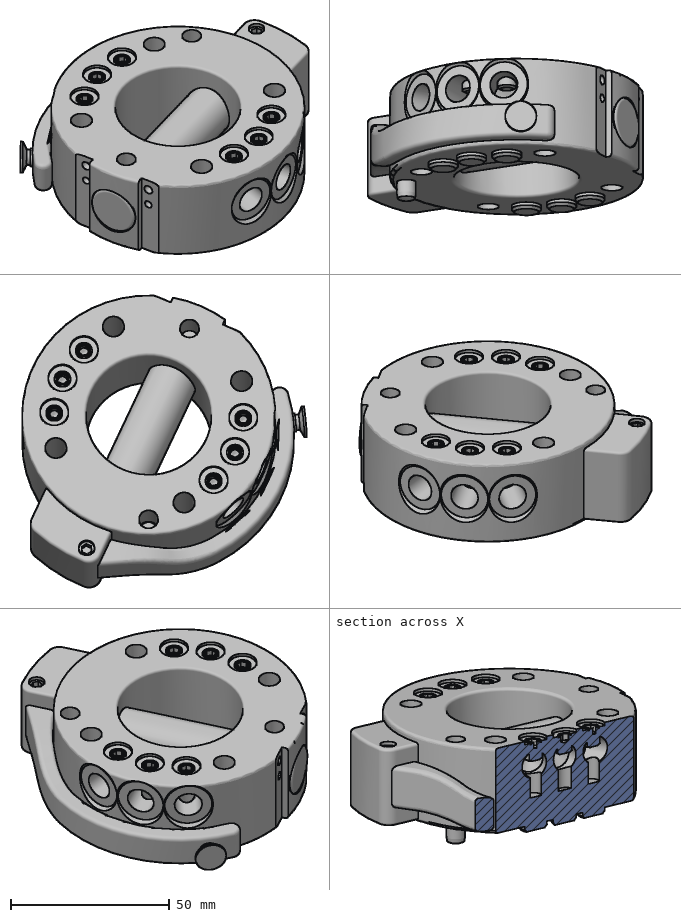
import cadquery as cq
import math

ring_radius = 40.05
ring_height = 28.5
bore_radius = 19.8
edge_round = 1.0
overlap = 1.0

flat_y = -37.0
pad_width = 18.0
flat_hole_x = 11.5
flat_hole_depth = 4.6
flat_holes = [(24.8, 3.0), (18.8, 2.5)]

bar_diameter = 16.0
bar_z = 13.3

mount_spacing = 44.4
mount_diameter = 6.75
dowel_diameter = 6.0
dowel_hole_y = -31.45
dowel_hole_depth = 11.1
pin_x = -14.2
pin_y = 31.9

pin_straight = 3.9
pin_shoulder = 5.4
pin_length = 6.1
pin_tip_radius = 2.8

port_step = 22.5
port_angles = [-port_step, 0, port_step]
left_port_z = 20.0
right_port_z = 15.7
port_diameter = 8.7
port_depth = 13.4
port_face_radius = 38.9
spotface_diameter = 15.0
drill_half_angle = 59.0

screw_circle_radius = 29.9
recess_diameter = 9.0
recess_depth = 1.0
screw_diameter = 6.0
screw_bottom_z = 21.7
thread_bottom_z = 9.25
thread_diameter = 5.2
screw_tip_diameter = 4.1
screw_tip_height = 0.6
screw_groove_outer = 5.2
screw_groove_inner = 4.1
screw_groove_depth = 0.6
socket_width = 3.5
socket_depth = 2.0

foot_diameter = 9.4
foot_end_diameter = 7.8
foot_height = 1.9
foot_straight = 1.0

lug_left = -5.0
lug_right = 20.0
lug_radius = 52.4
lug_bottom = 0.6
lug_top = 26.3
lug_corner_round = 4.0
lug_screw_y = 47.9
lug_screw_diameter = 5.0
lug_screw_depth = 1.2

lever_inner = 40.3
lever_outer = 46.0
lever_bottom = 1.0
lever_top = 11.9
lever_root_bottom = 6.5
lever_root_top = 20.4
lever_end_angle = 220.7
lever_tangent_angle = 119
lever_root_x = -3.2
lever_round = 1.5
bend_direction = 35
bend_start = -13.3
bend_end = 17.0

knob_angle = 210
knob_z = 6.5
knob_diameter = 9.9
knob_end = 49.8
knob_disc_thickness = 0.7
knob_collar_diameter = 5.8
knob_collar_end = 46.6
knob_neck_radius = 2.5


def polar(radius, angle):
    """Point at a radius and an angle in degrees about the ring axis."""
    return radius * math.cos(math.radians(angle)), radius * math.sin(math.radians(angle))


def spin(profile):
    """Revolve closed (radius, height) points about Z."""
    return cq.Workplane("XZ").polyline(profile).close().revolve(360, (0, 0, 0), (0, 1, 0))


def drill(diameter, depth):
    """Drill shape along Z from 0 down to a depth, with a conical bottom."""
    radius = diameter / 2
    tip = depth + radius / math.tan(math.radians(drill_half_angle))
    return spin([(0, 0), (radius, 0), (radius, -depth), (0, -tip)])


def aim_outward(tool, angle, radius, height):
    """Turn a tool's +Z to point radially outward and move it to its place."""
    turned = tool.rotate((0, 0, 0), (0, 1, 0), 90).translate((radius, 0, height))
    return turned.rotate((0, 0, 0), (0, 0, 1), angle)


def make_ring():
    ring = cq.Workplane("XY").circle(ring_radius).circle(bore_radius).extrude(ring_height)
    ring = ring.faces("<Z or >Z").edges().fillet(edge_round)
    cut_depth = ring_radius + flat_y
    for side in (-1, 1):
        flat = cq.Workplane("XY").box(ring_radius, cut_depth, ring_height, centered=(True, False, False))
        flat_x = side * (pad_width + ring_radius) / 2
        ring = ring.cut(flat.translate((flat_x, -ring_radius, 0)))
    return ring


def make_bar_seat():
    """Mouth of the bar hole, leaving a groove round the bar's rounded end."""
    seat = cq.Workplane("XZ", origin=(0, edge_round - ring_radius, bar_z))
    return seat.circle(bar_diameter / 2).extrude(2 * edge_round)


def make_cross_bar():
    length = ring_radius + bore_radius + overlap
    bar = cq.Workplane("XZ", origin=(0, length - ring_radius, bar_z)).circle(bar_diameter / 2).extrude(length)
    return bar.faces("<Y").edges().fillet(edge_round)


def make_lug():
    corner_y = [math.sqrt(lug_radius**2 - x**2) for x in (lug_left, lug_right)]
    middle_x = (lug_left + lug_right) / 2
    lug_start_y = bore_radius + overlap + lug_corner_round
    outline = (
        cq.Workplane("XY", origin=(0, 0, lug_bottom))
        .moveTo(lug_left, lug_start_y)
        .lineTo(lug_left, corner_y[0])
        .threePointArc((middle_x, math.sqrt(lug_radius**2 - middle_x**2)), (lug_right, corner_y[1]))
        .lineTo(lug_right, lug_start_y)
        .close()
    )
    lug = outline.extrude(lug_top - lug_bottom)
    lug = lug.edges("|Z").edges("not <Y").fillet(lug_corner_round)
    return lug.faces("<Z or >Z").edges("not <Y").fillet(edge_round)


def make_lever():
    middle_radius = (lever_inner + lever_outer) / 2
    cap_radius = (lever_outer - lever_inner) / 2
    cap_center = polar(middle_radius, lever_end_angle)
    cap_offset = polar(cap_radius, lever_end_angle + 90)
    cap_tip = (cap_center[0] + cap_offset[0], cap_center[1] + cap_offset[1])
    tangent_x, tangent_y = polar(lever_outer, lever_tangent_angle)
    slope = math.tan(math.radians(lever_tangent_angle - 90))
    root_outer_y = tangent_y + (lever_root_x - tangent_x) * slope
    root_inner_y = math.sqrt(lever_inner**2 - lever_root_x**2)
    middle_angle = (lever_tangent_angle + lever_end_angle) / 2
    plan = (
        cq.Workplane("XY")
        .moveTo(lever_root_x, root_inner_y)
        .threePointArc(polar(lever_inner, middle_angle), polar(lever_inner, lever_end_angle))
        .threePointArc(cap_tip, polar(lever_outer, lever_end_angle))
        .threePointArc(polar(lever_outer, middle_angle), (tangent_x, tangent_y))
        .lineTo(lever_root_x, root_outer_y)
        .close()
        .extrude(ring_height)
    )
    reach = lug_radius
    bend_middle = (bend_start + bend_end) / 2
    side = (
        cq.Workplane("XZ")
        .moveTo(-reach, lever_bottom)
        .lineTo(bend_start, lever_bottom)
        .tangentArcPoint((bend_middle, (lever_bottom + lever_root_bottom) / 2), relative=False)
        .tangentArcPoint((bend_end, lever_root_bottom), relative=False)
        .lineTo(reach, lever_root_bottom)
        .lineTo(reach, lever_root_top)
        .lineTo(bend_end, lever_root_top)
        .tangentArcPoint((bend_middle, (lever_top + lever_root_top) / 2), relative=False)
        .tangentArcPoint((bend_start, lever_top), relative=False)
        .lineTo(-reach, lever_top)
        .close()
        .extrude(reach, both=True)
        .rotate((0, 0, 0), (0, 0, 1), bend_direction)
    )
    lever = plan.intersect(side)
    return lever.edges("not(|Z or >X)").fillet(lever_round)


def make_knob():
    disc_radius = knob_diameter / 2
    disc_start = knob_end - knob_disc_thickness
    neck_end = (knob_collar_end + disc_start) / 2
    profile = [
        (0, lever_inner + overlap),
        (knob_collar_diameter / 2, lever_inner + overlap),
        (knob_collar_diameter / 2, knob_collar_end),
        (knob_neck_radius, knob_collar_end),
        (knob_neck_radius, neck_end),
        (disc_radius, disc_start),
        (disc_radius, knob_end),
        (0, knob_end),
    ]
    return aim_outward(spin(profile), knob_angle, 0, knob_z)


def make_dome():
    """Shallow spherical cap standing on Z = 0."""
    height = pin_length - pin_shoulder
    sphere_radius = (pin_tip_radius**2 + height**2) / (2 * height)
    sphere = cq.Workplane("XY").sphere(sphere_radius).translate((0, 0, height - sphere_radius))
    return sphere.intersect(cq.Workplane("XY").circle(sphere_radius).extrude(height))


def make_pin():
    radius = dowel_diameter / 2
    profile = [
        (0, overlap),
        (radius, overlap),
        (radius, -pin_straight),
        (pin_tip_radius, -pin_shoulder),
        (0, -pin_shoulder),
    ]
    dome = make_dome().rotate((0, 0, 0), (1, 0, 0), 180).translate((0, 0, -pin_shoulder))
    return spin(profile).union(dome).translate((pin_x, pin_y, 0))


def make_foot():
    radius = foot_diameter / 2
    profile = [
        (0, overlap),
        (radius, overlap),
        (radius, -foot_straight),
        (foot_end_diameter / 2, -foot_height),
        (0, -foot_height),
    ]
    return spin(profile)


def make_port(height):
    """Spotface with a 45 degree flare and a drilled blind hole, facing +X."""
    flat = spotface_diameter / 2
    rise = ring_radius + overlap - port_face_radius
    spotface = spin([(0, 0), (flat, 0), (flat + rise, rise), (0, rise)])
    return aim_outward(spotface.union(drill(port_diameter, port_depth)), 0, port_face_radius, height)


def make_screw_shank():
    """Clamp screw end that reaches down into a left-hand port."""
    radius = screw_diameter / 2
    top = ring_height - recess_depth
    tip_z = screw_bottom_z - screw_tip_height
    tip_radius = screw_tip_diameter / 2
    return spin([(0, top), (radius, top), (radius, screw_bottom_z), (tip_radius, tip_z), (0, tip_z)])


def make_thread_hole():
    """Continuation of the clamp screw hole below a left-hand port."""
    hole = cq.Workplane("XY", origin=(0, 0, thread_bottom_z)).circle(thread_diameter / 2)
    return hole.extrude(left_port_z - thread_bottom_z)


def make_socket(depth):
    """Hexagon socket sunk from Z = 0."""
    return cq.Workplane("XY").polygon(6, socket_width).extrude(-depth)


def make_screw_top():
    """Recess, chamfered screw rim and hexagon socket, measured down from the top face."""
    recess = cq.Workplane("XY").circle(recess_diameter / 2).extrude(-recess_depth)
    outer = screw_groove_outer / 2
    groove = spin([(screw_groove_inner / 2, 0), (outer, 0), (outer, -screw_groove_depth)])
    across_flats = socket_width * math.cos(math.pi / 6)
    screw = groove.union(make_socket(socket_depth)).union(drill(across_flats, socket_depth))
    return recess.union(screw.translate((0, 0, -recess_depth))).translate((0, 0, ring_height))


def place(tool, angle, radius=0.0):
    """Move a tool out along X, then turn it about the ring axis."""
    return tool.translate((radius, 0, 0)).rotate((0, 0, 0), (0, 0, 1), angle)


result = make_ring().cut(make_bar_seat()).union(make_cross_bar()).union(make_lug()).union(make_lever())
result = result.union(make_knob()).union(make_pin())

for side_angle, port_z in ((180, left_port_z), (0, right_port_z)):
    for step in port_angles:
        angle = side_angle + step
        result = result.cut(place(make_port(port_z), angle))
        if port_z == left_port_z:
            result = result.cut(place(make_thread_hole(), angle, screw_circle_radius))
            result = result.union(place(make_screw_shank(), angle, screw_circle_radius))
        result = result.cut(place(make_screw_top(), angle, screw_circle_radius))
        result = result.union(place(make_foot(), angle, screw_circle_radius))

mount_points = cq.Workplane("XY").rect(mount_spacing, mount_spacing, forConstruction=True).vertices()
result = result.cut(mount_points.circle(mount_diameter / 2).extrude(ring_height))

dowel_hole = cq.Workplane("XY").circle(dowel_diameter / 2).extrude(-dowel_hole_depth)
pin_hole = dowel_hole.cut(make_dome().translate((0, 0, -dowel_hole_depth)))
result = result.cut(dowel_hole.translate((0, dowel_hole_y, ring_height)))
result = result.cut(pin_hole.translate((pin_x, pin_y, ring_height)))

for hole_z, diameter in flat_holes:
    flat_drill = drill(diameter, flat_hole_depth).rotate((0, 0, 0), (1, 0, 0), 90)
    for side in (-1, 1):
        result = result.cut(flat_drill.translate((side * flat_hole_x, flat_y, hole_z)))

lug_recess = cq.Workplane("XY").circle(lug_screw_diameter / 2).extrude(-lug_screw_depth)
lug_screw = lug_recess.union(make_socket(lug_screw_depth + socket_depth))
result = result.cut(lug_screw.translate((0, lug_screw_y, lug_top)))